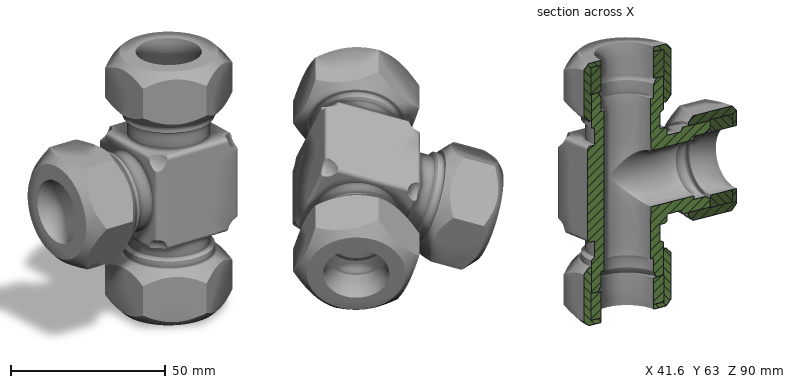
import cadquery as cq
import math

END_REACH = 45.0

BLOCK_WIDTH = 32.0
BLOCK_LENGTH = 33.0
EDGE_RADIUS = 1.35
CORNER_SCOOP_RADIUS = 4.4
SCOOP_BALL_TURN = 45
BORE_DIAMETER = 19.1
NECK_DIAMETER = 27.2
THREAD_DIAMETER = 30.0
FLARE_START = 22.0
FLARE_LENGTH = 0.8
TUBE_STOP = 27.5
MOUTH_DEPTH = 2.1
MOUTH_HALF_ANGLE = 30

NUT_HEIGHT = 20.0
HEXAGON_SIDES = 6
NUT_ACROSS_FLATS = 36.0
NUT_FACE_DIAMETER = 32.0
NUT_LIP = 1.8

TUBE_DIAMETER = 21.5
RING_LENGTH = 9.0

nut_start = END_REACH - NUT_HEIGHT
ring_end = END_REACH - NUT_LIP
ring_start = ring_end - RING_LENGTH
flare_end = FLARE_START + FLARE_LENGTH
nut_across_corners = NUT_ACROSS_FLATS / math.cos(math.pi / HEXAGON_SIDES)
mouth_diameter = TUBE_DIAMETER + 2 * MOUTH_DEPTH * math.tan(math.radians(MOUTH_HALF_ANGLE))

RUN_TOP, BRANCH, RUN_BOTTOM = 0, 90, 180
END_ANGLES = (RUN_TOP, BRANCH, RUN_BOTTOM)


def turned(shape, angle):
    """Turn an upward-pointing end about the X axis."""
    return shape.rotate((0, 0, 0), (1, 0, 0), angle)


def cylinder(diameter, start, end):
    """Upright cylinder on the Z axis between two heights."""
    return cq.Workplane("XY").workplane(offset=start).circle(diameter / 2).extrude(end - start)


def cone(start_diameter, end_diameter, start, end):
    """Upright cone frustum on the Z axis between two heights."""
    return (
        cq.Workplane("XY")
        .workplane(offset=start)
        .circle(start_diameter / 2)
        .workplane(offset=end - start)
        .circle(end_diameter / 2)
        .loft()
    )


def make_block():
    """Rounded block with a spherical scoop taken out of each corner."""
    block = cq.Workplane("XY").box(BLOCK_WIDTH, BLOCK_LENGTH, BLOCK_LENGTH).edges().fillet(EDGE_RADIUS)
    corners = cq.Workplane("XY").box(BLOCK_WIDTH, BLOCK_LENGTH, BLOCK_LENGTH).vertices()
    ball = cq.Workplane("XY").sphere(CORNER_SCOOP_RADIUS).rotate((0, 0, 0), (0, 0, 1), SCOOP_BALL_TURN)
    scoops = corners.eachpoint(ball.val(), combine=False)
    return block.cut(scoops)


def make_stub():
    """Neck that flares through a short cone to a wider threaded end."""
    neck = cylinder(NECK_DIAMETER, 0, ring_start)
    flare = cone(NECK_DIAMETER, THREAD_DIAMETER, FLARE_START, flare_end)
    thread = cylinder(THREAD_DIAMETER, flare_end, ring_start)
    return neck.union(flare).union(thread)


def make_socket():
    """Tube socket that ends in a flat stop, with a cone widening it at the end of the stub."""
    mouth = cone(TUBE_DIAMETER, mouth_diameter, ring_start - MOUTH_DEPTH, ring_start)
    return cylinder(TUBE_DIAMETER, TUBE_STOP, ring_start).union(mouth)


def make_tee_body():
    """Block with three stubs, bored straight through the run and from its centre out of the branch."""
    body = make_block()
    for angle in END_ANGLES:
        body = body.union(turned(make_stub(), angle))
    run_bore = cylinder(BORE_DIAMETER, -ring_start, ring_start)
    branch_bore = turned(cylinder(BORE_DIAMETER, 0, ring_start), BRANCH)
    body = body.cut(run_bore).cut(branch_bore)
    for angle in END_ANGLES:
        body = body.cut(turned(make_socket(), angle))
    return body


def make_nut():
    """Hexagon nut, coned on both faces, with a lip at its outer end."""
    hexagon = (
        cq.Workplane("XY")
        .workplane(offset=nut_start)
        .polygon(HEXAGON_SIDES, nut_across_corners)
        .extrude(NUT_HEIGHT)
    )
    cone_height = (nut_across_corners - NUT_FACE_DIAMETER) / 2
    coned_blank = cylinder(nut_across_corners, nut_start, END_REACH).faces("<Z or >Z").chamfer(cone_height)
    nut = hexagon.intersect(coned_blank)
    nut = nut.cut(cylinder(TUBE_DIAMETER, nut_start, END_REACH))
    return nut.cut(cylinder(THREAD_DIAMETER, nut_start, ring_end))


def make_sealing_ring():
    """Plain ring held between the end of the stub and the lip of the nut."""
    ring = cylinder(THREAD_DIAMETER, ring_start, ring_end)
    return ring.cut(cylinder(TUBE_DIAMETER, ring_start, ring_end))


tee_body = make_tee_body()
nuts = [turned(make_nut(), angle) for angle in END_ANGLES]
sealing_rings = [turned(make_sealing_ring(), angle) for angle in END_ANGLES]

result = cq.Compound.makeCompound(
    [
        tee_body.val(),
        *[nut.val() for nut in nuts],
        *[ring.val() for ring in sealing_rings],
    ]
)